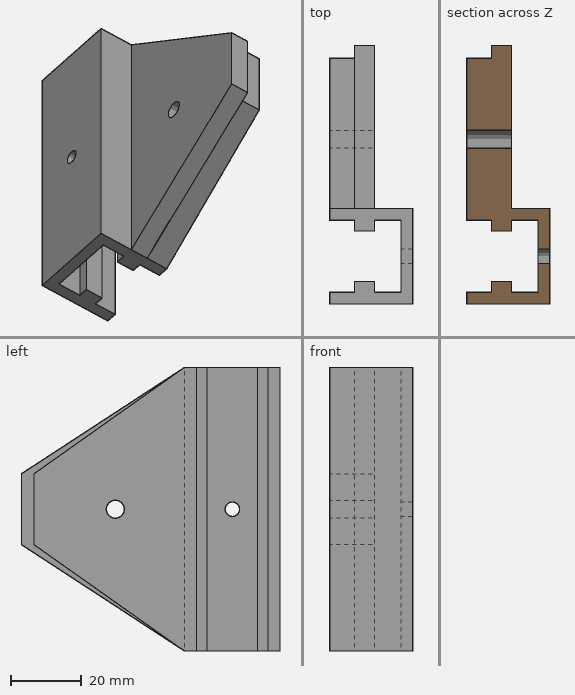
import cadquery as cq

depth_x = 23.5
length_z = 80.0
total_y = 73.0

channel_y = 27.0
wall = 3.4

rib_start_x = 7.0
rib_width = 5.7
rib_height = 3.0
rib_end_x = rib_start_x + rib_width

cover_end_y = 69.4
plate_tip_z = 20.0

mid_z = length_z / 2
plate_hole_diameter = 5.0
plate_hole_y = 46.5
channel_hole_diameter = 4.0
channel_hole_y = channel_y / 2


def box(x_range, y_range, z_range):
    """Axis-aligned box from its (start, end) ranges."""
    size = [end - start for start, end in (x_range, y_range, z_range)]
    return cq.Workplane("XY").box(*size, centered=False).translate((x_range[0], y_range[0], z_range[0]))


def make_channel():
    full_z = (0, length_z)
    channel = box((0, depth_x), (0, channel_y), full_z)
    channel = channel.cut(box((0, depth_x - wall), (wall, channel_y - wall), full_z))
    rib_x = (rib_start_x, rib_end_x)
    lower_rib = box(rib_x, (wall, wall + rib_height), full_z)
    upper_rib = box(rib_x, (channel_y - wall - rib_height, channel_y - wall), full_z)
    return channel.union(lower_rib).union(upper_rib)


def plate_layer(start_x, end_x, end_y):
    """Trapezoid layer narrowing from the full channel length to the tip."""
    outline = [
        (channel_y, 0),
        (end_y, mid_z - plate_tip_z / 2),
        (end_y, mid_z + plate_tip_z / 2),
        (channel_y, length_z),
    ]
    return cq.Workplane("YZ", origin=(start_x, 0, 0)).polyline(outline).close().extrude(end_x - start_x)


def cross_hole(y, diameter):
    """Cylinder along X through the whole depth of the part."""
    return cq.Workplane("YZ").center(y, mid_z).circle(diameter / 2).extrude(depth_x)


cover = plate_layer(0, rib_start_x, cover_end_y)
tongue = plate_layer(rib_start_x, rib_end_x, total_y)

result = make_channel().union(cover).union(tongue)
result = result.cut(cross_hole(plate_hole_y, plate_hole_diameter))
result = result.cut(cross_hole(channel_hole_y, channel_hole_diameter))